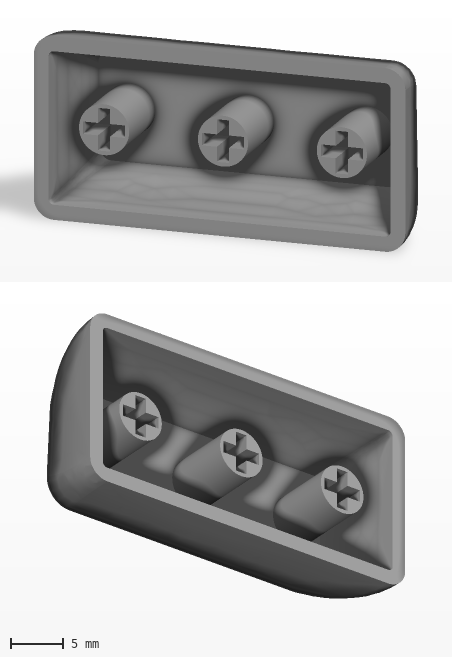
import cadquery as cq
import math

RIM_WIDTH = 37.15
RIM_HEIGHT = 18.1
RIM_RADIUS = 2.0
BACK_WIDTH = 32.02
BACK_HEIGHT = 12.75
BACK_RADIUS = 2.8
CAP_DEPTH = 10.5
BACK_TILT = 4.0

RIM_WALL = 1.5
BACK_WALL = 1.5
MOUTH_RADIUS = 0.52
FLOOR_WIDTH = 29.95
FLOOR_HEIGHT = 10.85
FLOOR_RADIUS = 1.1

STEM_COUNT = 3
STEM_PITCH = 11.9
STEM_DIAMETER = 5.0
STEM_RECESS = 1.0
CROSS_SPAN = 4.2
CROSS_ARM = 1.23
SOCKET_DEPTH = 3.7

SECTION_COUNT = 5

TILT_SLOPE = math.tan(math.radians(BACK_TILT))
BACK_CENTRE_Y = CAP_DEPTH - TILT_SLOPE * BACK_HEIGHT / 2
FLOOR_CENTRE_Y = BACK_CENTRE_Y - BACK_WALL


def bowed_inset(inset, depth, y):
    """Inset at y of an arc that leaves the rim along Y and reaches inset at depth."""
    radius = (depth**2 + inset**2) / (2 * inset)
    return radius - math.sqrt(radius**2 - y**2)


def bowed_block(mouth, end, depth):
    """Solid with bowed walls from a mouth at y = 0 to a tilted end centred at y = depth.

    mouth and end are rounded rectangles given as (width, height, corner radius).
    """
    sections = []
    for index in range(SECTION_COUNT):
        fraction = index / (SECTION_COUNT - 1)
        y = depth * fraction
        width = mouth[0] - 2 * bowed_inset((mouth[0] - end[0]) / 2, depth, y)
        height = mouth[1] - 2 * bowed_inset((mouth[1] - end[1]) / 2, depth, y)
        radius = mouth[2] + bowed_inset(end[2] - mouth[2], depth, y)
        lean = math.radians(BACK_TILT * fraction)
        plane = cq.Plane(origin=(0, y, 0), xDir=(1, 0, 0), normal=(0, math.cos(lean), math.sin(lean)))
        outline = cq.Sketch().rect(width, height).vertices().fillet(radius)
        sections.append(outline.moved(cq.Location(plane)))
    return cq.Workplane("XY").placeSketch(*sections).loft()


def make_cavity():
    mouth = (RIM_WIDTH - 2 * RIM_WALL, RIM_HEIGHT - 2 * RIM_WALL, MOUTH_RADIUS)
    return bowed_block(mouth, (FLOOR_WIDTH, FLOOR_HEIGHT, FLOOR_RADIUS), FLOOR_CENTRE_Y)


def make_cap(cavity):
    rim = (RIM_WIDTH, RIM_HEIGHT, RIM_RADIUS)
    back = (BACK_WIDTH, BACK_HEIGHT, BACK_RADIUS)
    return bowed_block(rim, back, BACK_CENTRE_Y).cut(cavity)


def make_stem(x, cavity):
    """Round stem trimmed to the sloping cavity floor, with a blind cross socket in its free end."""
    end_plane = cq.Workplane("XZ", origin=(x, STEM_RECESS, 0))
    stem = end_plane.circle(STEM_DIAMETER / 2).extrude(-CAP_DEPTH).intersect(cavity)
    level_arm = end_plane.rect(CROSS_SPAN, CROSS_ARM).extrude(-SOCKET_DEPTH)
    upright_arm = end_plane.rect(CROSS_ARM, CROSS_SPAN).extrude(-SOCKET_DEPTH)
    return stem.cut(level_arm.union(upright_arm))


cavity = make_cavity()
cap = make_cap(cavity)

stems = []
for index in range(STEM_COUNT):
    x = (index - (STEM_COUNT - 1) / 2) * STEM_PITCH
    stems.append(make_stem(x, cavity))

result = cq.Compound.makeCompound([cap.val(), *[stem.val() for stem in stems]])